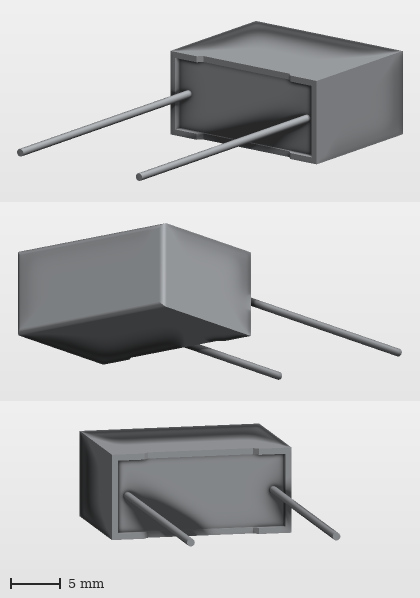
import cadquery as cq

total_length = 41.6
housing_width = 18.5
housing_height = 8.7
housing_length = 14.55

wall = 0.62
back_edge_radius = 0.5
notch_mouth_width = 11.85
notch_depth = 0.5

filling_recess = 0.75
lead_diameter = 0.8
lead_pitch = 15.0

cavity_width = housing_width - 2 * wall
cavity_height = housing_height - 2 * wall
cavity_length = housing_length - wall
lead_tip_y = housing_length - total_length
lead_length = filling_recess - lead_tip_y


def block(width, height, start_y, end_y):
    """Box centred on X and Z, running along Y between two planes."""
    return (
        cq.Workplane("XY")
        .box(width, end_y - start_y, height, centered=(True, False, True))
        .translate((0, start_y, 0))
    )


def make_notch():
    """Trapezoidal cutter with 45 degree ends, crossing the mouth of both broad walls."""
    mouth_half = notch_mouth_width / 2
    floor_half = mouth_half - notch_depth
    outline = [
        (-mouth_half, 0),
        (-floor_half, notch_depth),
        (floor_half, notch_depth),
        (mouth_half, 0),
    ]
    return cq.Workplane("XY").polyline(outline).close().extrude(housing_height / 2, both=True)


def make_housing():
    """Box open at the front, with rounded back edges and a notched mouth."""
    shell = block(housing_width, housing_height, 0, housing_length)
    shell = shell.faces(">Y").edges().fillet(back_edge_radius)
    cavity = block(cavity_width, cavity_height, 0, cavity_length)
    return shell.cut(cavity).cut(make_notch())


def make_filling():
    """Potting that fills the cavity up to a plane set back from the mouth."""
    return block(cavity_width, cavity_height, filling_recess, cavity_length)


def make_lead(x):
    """Straight round wire ending against the front face of the filling."""
    return (
        cq.Workplane("XZ", origin=(x, filling_recess, 0))
        .circle(lead_diameter / 2)
        .extrude(lead_length)
    )


housing = make_housing()
filling = make_filling()
leads = [make_lead(side * lead_pitch / 2) for side in (-1, 1)]

result = cq.Compound.makeCompound([housing.val(), filling.val(), *[lead.val() for lead in leads]])